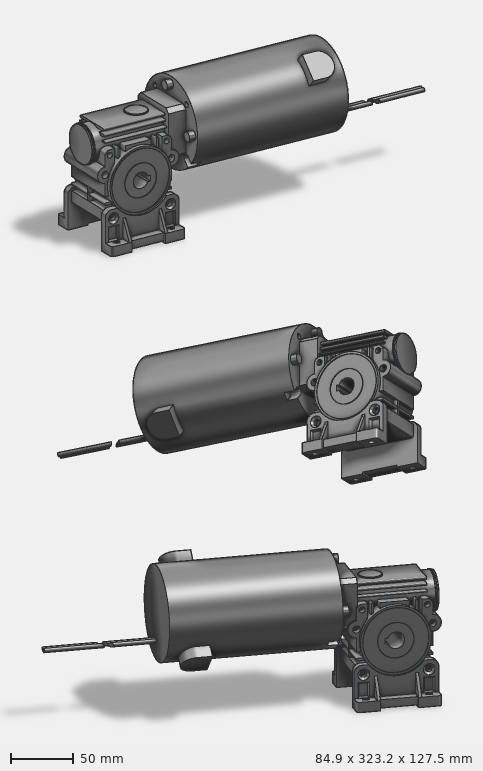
import cadquery as cq
import math

motor_radius = 40.0
motor_length = 144.0
fixing_radius = 33.3
screw_diameter = 8.5
screw_height = 5.8
screw_angles = (0, 90, 180)
tapped_diameter = 5.0
tapped_depth = 3.2
tapped_angles = (45, 135)
notch_width = 7.0
notch_depth = 9.5
notch_angles = (225, 315)

cap_width = 24.0
cap_reach = 48.0
cap_front_y = 109.2
cap_straight = 12.3
cap_angles = (45, 225)

wire_diameter = 3.5
wire_pitch = 4.0
wire_pair_x = 5.0
wire_z = -24.5
wire_end_y = 237.2
near_break_y = 183.5
far_break_y = 191.0

neck_size = 45.2
neck_length = 16.5
neck_chamfer = 4.0
barrel_radius = 16.8
lip_radius = 17.5
lip_length = 3.0
lip_chamfer = 2.0
barrel_end_y = -86.0
fin_end_y = -75.3
fins = ((17.5, 15.2, 17.0), (12.5, 10.5, 18.0), (6.8, 5.5, 20.0))
plug_diameter = 20.0
plug_y = -33.0
plug_top_z = 18.5
plug_chamfer = 0.5
fin_round_ratio = 0.4

wheel_y = -47.0
wheel_z = -30.0
shell_radius = 29.5
shell_half_length = 28.8
seal_diameter = 55.0
seal_recess = 0.5
hub_diameter = 30.0
bore_diameter = 14.2
key_width = 5.0
key_reach = 9.0

block_half_width = 25.0
block_half_depth = 31.7
block_bottom_z = -62.7
block_round = 3.2
ear_radius = 7.0
ear_z = -19.5
ear_hole_diameter = 6.0
ear_hole_depth = 6.5
bolt_offset = 27.0
lobe_inner_offset = 22.5
lobe_round = 5.0
lobe_z = -3.2
lobe_hole_diameter = 5.0
lobe_hole_depth = 6.5
rib_top_z = 1.5
rib_offset = 18.5
rib_width = 2.0
pad_rib_width = 24.5
rib_round = 0.5
groove_top_z = -38.5
groove_bottom_z = -51.0
groove_fin_top_z = -44.0
groove_fin_bottom_z = -46.2
groove_web_width = 2.5

overall_height = 127.5
base_z = (cap_reach + cap_width / 2) / math.sqrt(2) - overall_height
plate_outer_x = 30.7
foot_outer_x = 40.5
foot_half_depth = 35.2
foot_corner_radius = 6.5
foot_plate_top_z = -48.0
foot_bolt_z = -56.2
foot_bolt_diameter = 5.5
countersink_diameter = 9.7
countersink_depth = 2.0
pad_height = 8.7
pad_top_z = base_z + pad_height
pad_inner_offset = 15.8
pad_round = 2.5
bar_outer_x = 38.0
bar_lift = 1.5
gusset_width = 2.5
gusset_top_z = -58.2
floor_hole_diameter = 5.5
floor_hole_x = 33.3
floor_hole_offset = 26.2
relief_width = 9.7
relief_top_z = -62.7
relief_depth = 2.0
relief_taper = 33


def box(x0, x1, y0, y1, z0, z1):
    """A box between two opposite corners."""
    return cq.Workplane("XY").box(x1 - x0, y1 - y0, z1 - z0, centered=False).translate((x0, y0, z0))


def x_cylinder(diameter, x0, x1, y, z):
    """A cylinder along X."""
    return cq.Workplane("YZ", origin=(x0, y, z)).circle(diameter / 2).extrude(x1 - x0)


def y_cylinder(diameter, y0, y1, x, z):
    """A cylinder along Y, from y0 forward to the smaller y1."""
    return cq.Workplane("XZ", origin=(x, y0, z)).circle(diameter / 2).extrude(y0 - y1)


def on_fixing_circle(angle):
    """X and Z of a point on the motor's front pitch circle."""
    a = math.radians(angle)
    return fixing_radius * math.cos(a), fixing_radius * math.sin(a)


def turned(shape, angle):
    """Turn a shape made on the +X side about the motor axis, towards +Z."""
    return shape.rotate((0, 0, 0), (0, 1, 0), -angle)


def break_cutter(break_y, side):
    """A half space bounded by the slanting break; side +1 covers the rear, -1 the front."""
    reach = wire_end_y - motor_length
    plane = cq.Plane(origin=(wire_pair_x, break_y, wire_z), xDir=(1, 1, 0), normal=(-1, 1, 0))
    return cq.Workplane(plane).rect(reach, reach).extrude(side * reach)


def wire(x, y0, y1):
    return y_cylinder(wire_diameter, y1, y0, x, wire_z)


wire_places = [wire_pair_x + side * wire_pitch / 2 for side in (-1, 1)]


def far_wire(x):
    """The loose length of one wire beyond the break."""
    return wire(x, near_break_y, wire_end_y).cut(break_cutter(far_break_y, -1))


def near_wire(x):
    """The length of one wire that stays on the motor."""
    return wire(x, motor_length - wire_diameter, far_break_y).cut(break_cutter(near_break_y, 1))


def brush_cap():
    """A block with a semicircular rear end, standing out along +X."""
    centre_y = cap_front_y + cap_straight
    half = cap_width / 2
    return (
        cq.Workplane("YZ")
        .moveTo(cap_front_y, -half)
        .lineTo(centre_y, -half)
        .threePointArc((centre_y + half, 0), (centre_y, half))
        .lineTo(cap_front_y, half)
        .close()
        .extrude(cap_reach)
    )


def rim_notch():
    """A round-ended slot running out through the rim along +X."""
    half = notch_width / 2
    round_end = y_cylinder(notch_width, notch_depth, 0, fixing_radius, 0)
    return round_end.union(box(fixing_radius, motor_radius + half, 0, notch_depth, -half, half))


def make_motor():
    body = y_cylinder(2 * motor_radius, motor_length, 0, 0, 0)
    for angle in cap_angles:
        body = body.union(turned(brush_cap(), angle))
    for angle in screw_angles:
        body = body.union(y_cylinder(screw_diameter, 0, -screw_height, *on_fixing_circle(angle)))
    for angle in tapped_angles:
        body = body.cut(y_cylinder(tapped_diameter, tapped_depth, 0, *on_fixing_circle(angle)))
    for angle in notch_angles:
        body = body.cut(turned(rim_notch(), angle))
    for x in wire_places:
        body = body.union(near_wire(x))
    return body


def make_neck():
    neck = box(-neck_size / 2, neck_size / 2, -neck_length, 0, -neck_size / 2, neck_size / 2)
    return neck.edges("|Y").chamfer(neck_chamfer)


def make_barrel():
    """Worm barrel with its cooling fins and the round plug on top."""
    barrel = y_cylinder(2 * barrel_radius, -neck_length, barrel_end_y, 0, 0)
    lip = y_cylinder(2 * lip_radius, barrel_end_y + lip_length, barrel_end_y, 0, 0)
    barrel = barrel.union(lip.faces("<Y").chamfer(lip_chamfer))
    for top_z, bottom_z, half_width in fins:
        fin = box(-half_width, half_width, fin_end_y, -neck_length, bottom_z, top_z)
        fin = fin.edges("|Y").fillet(fin_round_ratio * (top_z - bottom_z))
        barrel = barrel.union(fin)
    plate_top_z = fins[0][0]
    plug = (
        cq.Workplane("XY", origin=(0, plug_y, plate_top_z))
        .circle(plug_diameter / 2)
        .extrude(plug_top_z - plate_top_z)
        .faces(">Z")
        .chamfer(plug_chamfer)
    )
    return barrel.union(plug)


def make_shell():
    return x_cylinder(2 * shell_radius, -shell_half_length, shell_half_length, wheel_y, wheel_z)


def side_grooves():
    """Cooling grooves across the end of the block that faces -Y, down to the shell."""
    y0, y1 = wheel_y - block_half_depth, wheel_y
    half = block_half_width
    grooves = box(-half, half, y0, y1, groove_bottom_z, groove_top_z)
    fin = box(-half, half, y0, y1, groove_fin_bottom_z, groove_fin_top_z)
    fin = fin.edges("|X and <Y").fillet(fin_round_ratio * (groove_fin_top_z - groove_fin_bottom_z))
    web = box(-groove_web_width / 2, groove_web_width / 2, y0, y1, groove_bottom_z, groove_top_z)
    return grooves.cut(fin).cut(web).cut(make_shell())


def mirrored_in_y(shape):
    """The same shape on the other side of the wheel axis along Y."""
    return shape.mirror("XZ", (0, wheel_y, 0))


def top_rib(y, width):
    """A rib across the top of the shell, centred at y, with rounded top edges."""
    half = block_half_width
    rib = box(-half, half, y - width / 2, y + width / 2, ear_z, rib_top_z)
    return rib.edges("|X and >Z").fillet(rib_round)


def make_block():
    """Housing block with ears, bolt lobes, top ribs and cooling grooves."""
    half = block_half_width
    front_y = wheel_y - block_half_depth
    rear_y = wheel_y + block_half_depth
    block = box(-half, half, front_y, rear_y, block_bottom_z, ear_z)
    block = block.edges("|X and <Z").fillet(block_round)
    block = block.union(make_shell())

    ear = x_cylinder(2 * ear_radius, -half, half, front_y, ear_z)
    lobe = box(-half, half, front_y, wheel_y - lobe_inner_offset, ear_z, rib_top_z)
    lobe = lobe.edges("|X and >Z and <Y").fillet(lobe_round)
    rib = top_rib(wheel_y - rib_offset, rib_width)
    for part in (ear, lobe, rib):
        block = block.union(part).union(mirrored_in_y(part))
    block = block.union(top_rib(wheel_y, pad_rib_width))

    grooves = side_grooves()
    return block.cut(grooves).cut(mirrored_in_y(grooves))


def block_holes():
    """Blind holes in the ears and lobes of the face at +X."""
    face = block_half_width
    ear_hole = x_cylinder(
        ear_hole_diameter, face - ear_hole_depth, face, wheel_y - block_half_depth, ear_z
    )
    lobe_hole = x_cylinder(lobe_hole_diameter, face - lobe_hole_depth, face, wheel_y - bolt_offset, lobe_z)
    holes = ear_hole.union(lobe_hole)
    return holes.union(mirrored_in_y(holes))


def seal_ring():
    """Shallow ring sunk in the shell's +X end around the hub."""
    end = shell_half_length
    ring = x_cylinder(seal_diameter, end - seal_recess, end, wheel_y, wheel_z)
    return ring.cut(x_cylinder(hub_diameter, end - seal_recess, end, wheel_y, wheel_z))


def keyed_bore():
    end = shell_half_length
    bore = x_cylinder(bore_diameter, -end, end, wheel_y, wheel_z)
    half = key_width / 2
    return bore.union(box(-end, end, wheel_y, wheel_y + key_reach, wheel_z - half, wheel_z + half))


def half_foot():
    """The half of the +X foot on the -Y side of the wheel axis."""
    inner = block_half_width
    end_y = wheel_y - foot_half_depth
    pad_y = wheel_y - pad_inner_offset
    bolt_y = wheel_y - bolt_offset

    plate = box(inner, plate_outer_x, end_y, wheel_y, base_z + bar_lift, foot_plate_top_z)
    plate = plate.edges("|X and >Z and <Y").fillet(foot_corner_radius)
    plate = plate.cut(x_cylinder(2 * shell_radius, inner, plate_outer_x, wheel_y, wheel_z))

    pad = box(inner, foot_outer_x, end_y, pad_y, base_z, pad_top_z)
    pad = pad.edges("|Z and >X and <Y").fillet(pad_round)
    bar = box(inner, bar_outer_x, pad_y, wheel_y, base_z + bar_lift, pad_top_z)
    gusset = (
        cq.Workplane("XZ", origin=(0, pad_y, 0))
        .polyline([(plate_outer_x, pad_top_z), (foot_outer_x, pad_top_z), (plate_outer_x, gusset_top_z)])
        .close()
        .extrude(gusset_width)
    )
    foot = plate.union(pad).union(bar).union(gusset)

    relief_height = relief_top_z - pad_top_z
    relief = (
        cq.Workplane("YZ", origin=(plate_outer_x, bolt_y, pad_top_z + relief_height / 2))
        .rect(relief_width, relief_height)
        .extrude(-relief_depth, taper=relief_taper)
    )
    floor_hole = (
        cq.Workplane("XY", origin=(floor_hole_x, wheel_y - floor_hole_offset, base_z))
        .circle(floor_hole_diameter / 2)
        .extrude(pad_height)
    )
    bolt_hole = (
        cq.Workplane("YZ", origin=(plate_outer_x, bolt_y, foot_bolt_z))
        .circle(countersink_diameter / 2)
        .workplane(offset=-countersink_depth)
        .circle(foot_bolt_diameter / 2)
        .loft()
    )
    bolt_hole = bolt_hole.union(x_cylinder(foot_bolt_diameter, inner, plate_outer_x, bolt_y, foot_bolt_z))
    return foot.cut(relief).cut(floor_hole).cut(bolt_hole)


def make_gearbox():
    gearbox = make_block().union(make_barrel()).union(make_neck())
    foot = half_foot()
    foot = foot.union(mirrored_in_y(foot))
    gearbox = gearbox.union(foot).union(foot.mirror("YZ"))
    for cutter in (block_holes(), seal_ring()):
        gearbox = gearbox.cut(cutter).cut(cutter.mirror("YZ"))
    return gearbox.cut(keyed_bore())


motor = make_motor()
gearbox = make_gearbox()
wires = [far_wire(x).val() for x in wire_places]

result = cq.Compound.makeCompound([motor.val(), gearbox.val(), *wires])